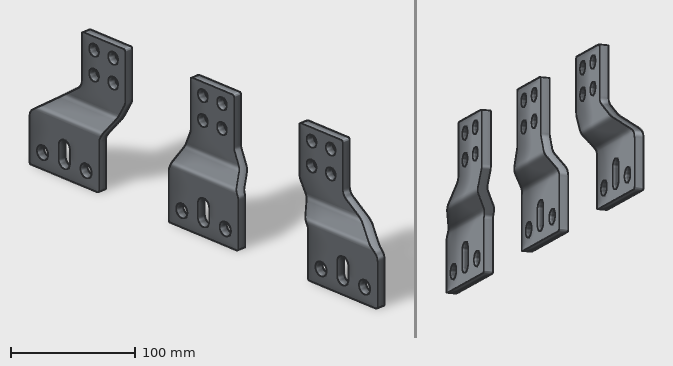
import cadquery as cq
import math

height = 130.0
depth = 18.0
thickness = 8.0
lower_width = 80.0
upper_width = 50.0
bracket_pitch = 160.0
sheet_length = 2 * bracket_pitch

tab_overhang = 20.0
outer_tab_shift = (lower_width - upper_width) / 2 + tab_overhang

joggle_bottom = 53.0
joggle_tilt = math.radians(35)
bend_radius = 9.0

lower_shoulder = 47.0
upper_shoulder = 82.0
shoulder_radius = 9.0
corner_radius = 2.0

upper_hole_diameter = 11.0
upper_hole_pitch = 22.0
upper_hole_top_margin = 12.0
lower_hole_diameter = 13.0
lower_hole_pitch = 50.0
lower_hole_height = 15.0
slot_length = 25.5


def mid_height_edges(body, direction):
    """Edges along the given direction that lie between the bottom and top ends of a bracket."""
    reach = 2 * height
    low_corner = (-reach, -reach, thickness)
    high_corner = (reach, reach, height - thickness)
    between_ends = cq.selectors.BoxSelector(low_corner, high_corner)
    return body.edges(direction).edges(between_ends)


def joggled_sheet(length):
    """Bent sheet of constant thickness, centred on X = 0, with rounded bends."""
    joggle_top = joggle_bottom + (depth - thickness) / math.tan(joggle_tilt)
    back_drop = thickness * math.tan(joggle_tilt / 2)
    corners = [
        (0, 0),
        (0, joggle_bottom),
        (depth - thickness, joggle_top),
        (depth - thickness, height),
        (depth, height),
        (depth, joggle_top - back_drop),
        (thickness, joggle_bottom - back_drop),
        (thickness, 0),
    ]
    sheet = cq.Workplane("YZ").polyline(corners).close().extrude(length / 2, both=True)
    return mid_height_edges(sheet, "|X").fillet(bend_radius)


def tapered_blank(tab_shift):
    """Front outline of a bracket, extruded through the full depth, with all corners rounded."""
    lower_half = lower_width / 2
    upper_half = upper_width / 2
    corners = [
        (-lower_half, 0),
        (-lower_half, lower_shoulder),
        (tab_shift - upper_half, upper_shoulder),
        (tab_shift - upper_half, height),
        (tab_shift + upper_half, height),
        (tab_shift + upper_half, upper_shoulder),
        (lower_half, lower_shoulder),
        (lower_half, 0),
    ]
    blank = cq.Workplane("XZ").polyline(corners).close().extrude(-depth)
    blank = mid_height_edges(blank, "|Y").fillet(shoulder_radius)
    for end in ("<Z", ">Z"):
        blank = blank.faces(end).edges("|Y").fillet(corner_radius)
    return blank


def hole_tools(tab_shift):
    """Cutters for the four tab holes, the two lower holes and the slot between them."""
    upper_holes = (
        cq.Workplane("XZ")
        .center(tab_shift, height - upper_hole_top_margin - upper_hole_pitch / 2)
        .rarray(upper_hole_pitch, upper_hole_pitch, 2, 2)
        .circle(upper_hole_diameter / 2)
        .extrude(-depth)
    )
    lower_holes = (
        cq.Workplane("XZ")
        .center(0, lower_hole_height)
        .rarray(lower_hole_pitch, 4, 2, 1)
        .circle(lower_hole_diameter / 2)
        .extrude(-depth)
    )
    slot_height = lower_hole_height + (slot_length - lower_hole_diameter) / 2
    slot = (
        cq.Workplane("XZ")
        .center(0, slot_height)
        .slot2D(slot_length, lower_hole_diameter, 90)
        .extrude(-depth)
    )
    return [upper_holes, lower_holes, slot]


def bracket(tab_shift):
    """One joggled bracket, its lower plate centred on X = 0."""
    body = joggled_sheet(sheet_length).intersect(tapered_blank(tab_shift))
    for tool in hole_tools(tab_shift):
        body = body.cut(tool)
    return body


brackets = []
for side in (-1, 0, 1):
    placed = bracket(-side * outer_tab_shift).translate((side * bracket_pitch, 0, 0))
    brackets.append(placed.val())

result = cq.Compound.makeCompound(brackets)